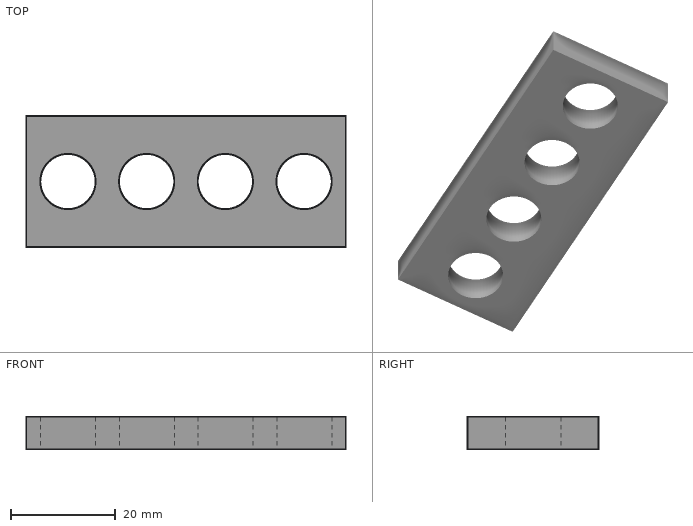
import cadquery as cq

length = 61.0
width = 25.0
thickness = 6.2

hole_count = 4
hole_pitch = 15.0
hole_diameter = 10.5

plate = cq.Workplane("XY").box(length, width, thickness)

result = (
    plate.faces(">Z")
    .workplane()
    .rarray(hole_pitch, width, hole_count, 1)
    .hole(hole_diameter)
)